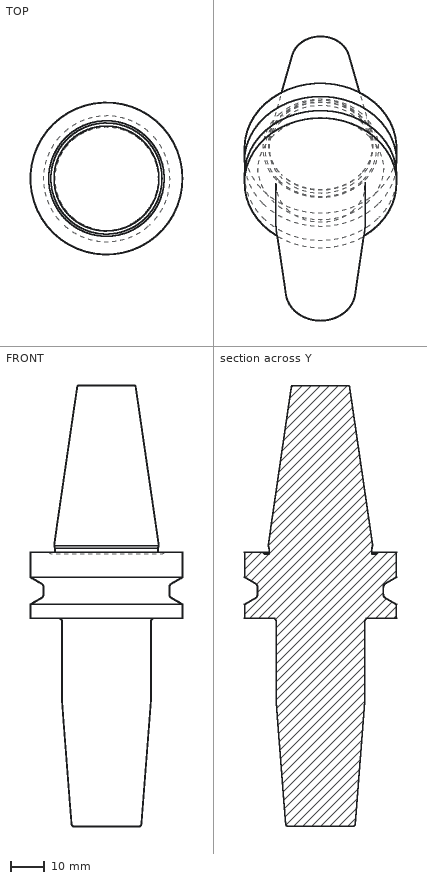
import cadquery as cq
import math

total_length = 133.4
gauge_z = 85.0
gauge_radius = 15.9
taper_slope = 7 / 48
shank_top_radius = gauge_radius - (total_length - gauge_z) * taper_slope
shank_top_round = 0.5

relief_outer_radius = 17.5
relief_floor_radius = 16.8
relief_depth = 0.5
neck_radius = 15.6
neck_top_z = 84.2

flange_radius = 23.01
flange_top_z = 83.0
flange_bottom_z = 63.0
groove_top_z = 75.4
groove_bottom_z = 67.2
groove_floor_radius = 19.1
groove_flank_height = (flange_radius - groove_floor_radius) * math.tan(math.radians(30))
groove_floor_round = 1.0

nose_radius = 13.5
nose_root_round = 1.0
nose_taper_z = 37.9
nose_tip_radius = 10.5
nose_tip_round = 1.0


def revolve_profile(points):
    """Solid of revolution about Z from (radius, height) points."""
    return cq.Workplane("XZ").polyline(points).close().revolve(360, (0, 0), (0, 1))


def edges_at(body, radius, z):
    """Circular edges of the given radius centred on Z at the given height."""
    margin = 0.07
    reach = radius + margin
    box = cq.selectors.BoxSelector(
        (-reach, -reach, z - margin), (reach, reach, z + margin), boundingbox=True
    )
    inner = cq.selectors.BoxSelector(
        (-radius + margin, -radius + margin, z - margin),
        (radius - margin, radius - margin, z + margin),
        boundingbox=True,
    )
    return body.edges(box - inner)


body = revolve_profile([
    (0, 0),
    (nose_tip_radius, 0),
    (nose_radius, nose_taper_z),
    (nose_radius, flange_bottom_z),
    (flange_radius, flange_bottom_z),
    (flange_radius, groove_bottom_z),
    (groove_floor_radius, groove_bottom_z + groove_flank_height),
    (groove_floor_radius, groove_top_z - groove_flank_height),
    (flange_radius, groove_top_z),
    (flange_radius, flange_top_z),
    (relief_outer_radius, flange_top_z),
    (relief_floor_radius, flange_top_z - relief_depth),
    (neck_radius, flange_top_z - relief_depth),
    (neck_radius, neck_top_z),
    (gauge_radius, gauge_z),
    (shank_top_radius, total_length),
    (0, total_length),
])

rounded_edges = [
    (nose_tip_radius, 0, nose_tip_round),
    (nose_radius, flange_bottom_z, nose_root_round),
    (groove_floor_radius, groove_bottom_z + groove_flank_height, groove_floor_round),
    (groove_floor_radius, groove_top_z - groove_flank_height, groove_floor_round),
    (shank_top_radius, total_length, shank_top_round),
]
for edge_radius, edge_z, rounding in rounded_edges:
    body = edges_at(body, edge_radius, edge_z).fillet(rounding)

result = body